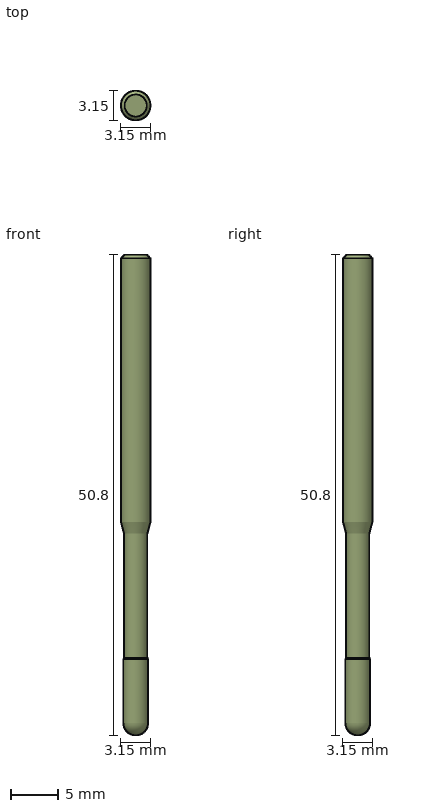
import cadquery as cq
import math

total_length = 50.8
shank_diameter = 3.15
neck_diameter = 2.5
tip_diameter = 2.65

joint_height = 8.25
neck_top_height = 21.35
shank_bottom_height = 22.55

shank_chamfer = 0.4
tip_chamfer_height = 0.2

shank_radius = shank_diameter / 2
neck_radius = neck_diameter / 2
tip_radius = tip_diameter / 2


def make_holder():
    """Round shank with a chamfered end, tapering down to a slimmer neck."""
    profile = (
        cq.Workplane("XZ")
        .moveTo(0, joint_height)
        .lineTo(neck_radius, joint_height)
        .lineTo(neck_radius, neck_top_height)
        .lineTo(shank_radius, shank_bottom_height)
        .lineTo(shank_radius, total_length - shank_chamfer)
        .lineTo(shank_radius - shank_chamfer, total_length)
        .lineTo(0, total_length)
        .close()
    )
    return profile.revolve(360, (0, 0, 0), (0, 1, 0))


def make_ball_tip():
    """Cylindrical tip with a hemispherical nose; its far end is bevelled down to the neck diameter."""
    nose_arc_offset = tip_radius * math.sqrt(0.5)
    profile = (
        cq.Workplane("XZ")
        .moveTo(0, 0)
        .threePointArc((nose_arc_offset, tip_radius - nose_arc_offset), (tip_radius, tip_radius))
        .lineTo(tip_radius, joint_height - tip_chamfer_height)
        .lineTo(neck_radius, joint_height)
        .lineTo(0, joint_height)
        .close()
    )
    return profile.revolve(360, (0, 0, 0), (0, 1, 0))


holder = make_holder()
ball_tip = make_ball_tip()

result = cq.Compound.makeCompound([holder.val(), ball_tip.val()])